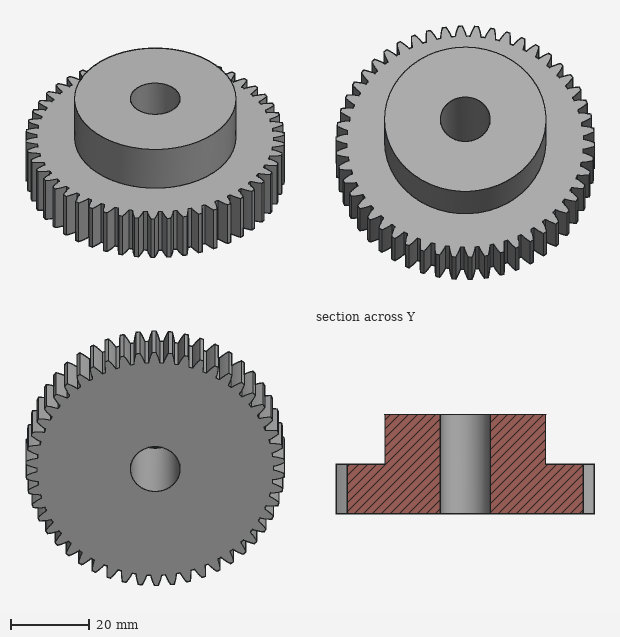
import cadquery as cq
import math

tooth_count = 50
outer_diameter = 66.05
addendum_factor = 1.0
dedendum_factor = 1.25
tip_thickness = 1.0
root_thickness = 2.85

total_height = 25.4
face_width = total_height / 2
hub_diameter = 41.2
bore_diameter = 12.7

module = outer_diameter / (tooth_count + 2 * addendum_factor)
tip_radius = outer_diameter / 2
pitch_radius = module * tooth_count / 2
root_radius = pitch_radius - dedendum_factor * module
tooth_pitch_angle = 2 * math.pi / tooth_count

tip_half_angle = tip_thickness / (2 * tip_radius)
pitch_half_angle = tooth_pitch_angle / 4
root_half_angle = root_thickness / (2 * root_radius)


def polar(radius, angle):
    """Point at the given radius and angle about the gear axis."""
    return (radius * math.cos(angle), radius * math.sin(angle))


def add_tooth(outline, centre):
    """Add one tooth and the root land after it, going counterclockwise."""
    next_root_angle = centre + tooth_pitch_angle - root_half_angle
    return (
        outline
        .threePointArc(
            polar(pitch_radius, centre - pitch_half_angle),
            polar(tip_radius, centre - tip_half_angle),
        )
        .threePointArc(
            polar(tip_radius, centre),
            polar(tip_radius, centre + tip_half_angle),
        )
        .threePointArc(
            polar(pitch_radius, centre + pitch_half_angle),
            polar(root_radius, centre + root_half_angle),
        )
        .threePointArc(
            polar(root_radius, centre + tooth_pitch_angle / 2),
            polar(root_radius, next_root_angle),
        )
    )


def toothed_disc():
    """Spur gear disc with one tooth centred on the +Y axis."""
    first_centre = math.pi / 2
    outline = cq.Workplane("XY").moveTo(*polar(root_radius, first_centre - root_half_angle))
    for index in range(tooth_count):
        outline = add_tooth(outline, first_centre + index * tooth_pitch_angle)
    return outline.close().extrude(face_width)


def cylinder(diameter):
    """Cylinder on the gear axis over the full height."""
    return cq.Workplane("XY").circle(diameter / 2).extrude(total_height)


hub = cylinder(hub_diameter)
bore = cylinder(bore_diameter)
result = toothed_disc().union(hub).cut(bore)